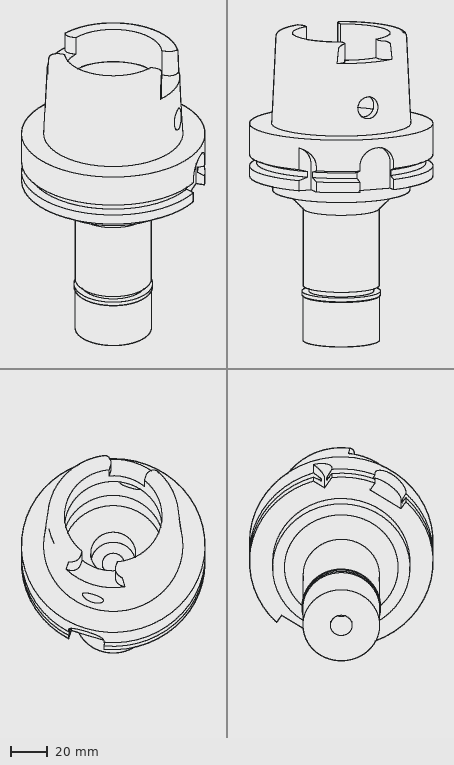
import cadquery as cq
import math


total_height = 170.0
nut_height = 27.2
nut_collar_bottom = 25.2
shank_bottom = 30.3
cone_bottom = 73.0
disc_bottom = 83.1
flange_bottom = 91.0
flange_top = 120.0

nut_radius = 20.9
nut_collar_radius = 21.5
nut_collar_chamfer = nut_collar_radius - nut_radius

neck_radius = 17.7
shank_radius = 20.7
cone_top_radius = shank_radius + (disc_bottom - cone_bottom)
disc_radius = 37.4
flange_radius = 50.0
taper_base_radius = 37.9
taper_top_radius = 35.5
rim_fillet = 2.0

groove_radius = 46.0
groove_floor_bottom = 98.1
groove_floor_top = 101.2
groove_flank_height = 1.5

through_radius = 6.0
mouth_radius = 26.5
mouth_depth = 19.9
chamber_radius = 31.5
chamber_flank_angle = 30
chamber_flank_height = (chamber_radius - mouth_radius) * math.tan(math.radians(chamber_flank_angle))
chamber_wall_bottom = 129.4
chamber_fillet = 6.0
inner_bore_radius = 27.5
inner_bore_floor = 106.6
socket_radius = 12.2
socket_depth = 17.0

drive_slot_width = 20.0
drive_corner_radius = 5.0
drive_shoulder = 32.1
drive_depth_minus_x = 10.2
drive_depth_plus_x = 15.0

cross_hole_radius = 6.0
cross_hole_height = 135.0

notch_radius = 10.0
notch_top_margin = 5.0
notch_top = flange_top - notch_top_margin
main_notch_floor = 44.0
side_notch_floor = 31.6
side_notch_edge_y = 31.5
side_notch_y = side_notch_edge_y + notch_radius


def make_nut():
    profile = [
        (through_radius, 0),
        (nut_radius, 0),
        (nut_radius, nut_collar_bottom - nut_collar_chamfer),
        (nut_collar_radius, nut_collar_bottom),
        (nut_collar_radius, nut_height),
        (through_radius, nut_height),
    ]
    return cq.Workplane("XZ").polyline(profile).close().revolve(360, (0, 0), (0, 1))


def make_holder_blank():
    """Solid of revolution with all the outside diameters and the gripper groove."""
    profile = [
        (0, nut_height),
        (neck_radius, nut_height),
        (neck_radius, shank_bottom),
        (shank_radius, shank_bottom),
        (shank_radius, cone_bottom),
        (cone_top_radius, disc_bottom),
        (disc_radius, disc_bottom),
        (disc_radius, flange_bottom),
        (flange_radius, flange_bottom),
        (flange_radius, groove_floor_bottom - groove_flank_height),
        (groove_radius, groove_floor_bottom),
        (groove_radius, groove_floor_top),
        (flange_radius, groove_floor_top + groove_flank_height),
        (flange_radius, flange_top),
        (taper_base_radius, flange_top),
        (taper_top_radius, total_height),
        (0, total_height),
    ]
    blank = cq.Workplane("XZ").polyline(profile).close().revolve(360, (0, 0), (0, 1))
    return blank.faces(">Z").edges().fillet(rim_fillet)


def make_cavity():
    """Through bore, socket, inner bore, rounded clamping chamber and mouth as one cutter."""
    mouth_bottom = total_height - mouth_depth
    socket_floor = inner_bore_floor - socket_depth
    arc_centre_radius = chamber_radius - chamber_fillet
    arc_end_angle = math.acos((inner_bore_radius - arc_centre_radius) / chamber_fillet)

    def arc_point(angle):
        return (
            arc_centre_radius + chamber_fillet * math.cos(angle),
            chamber_wall_bottom - chamber_fillet * math.sin(angle),
        )

    profile = (
        cq.Workplane("XZ")
        .moveTo(0, nut_height)
        .lineTo(through_radius, nut_height)
        .lineTo(through_radius, socket_floor)
        .lineTo(socket_radius, socket_floor)
        .lineTo(socket_radius, inner_bore_floor)
        .lineTo(inner_bore_radius, inner_bore_floor)
        .lineTo(*arc_point(arc_end_angle))
        .threePointArc(arc_point(arc_end_angle / 2), arc_point(0))
        .lineTo(chamber_radius, mouth_bottom - chamber_flank_height)
        .lineTo(mouth_radius, mouth_bottom)
        .lineTo(mouth_radius, total_height)
        .lineTo(0, total_height)
        .close()
    )
    return profile.revolve(360, (0, 0), (0, 1))


def make_drive_slot(side, depth):
    """Slot open along X on one side (+1 or -1), flaring round the corners to a flat shoulder."""
    half_width = drive_slot_width / 2
    corner_start = drive_shoulder - drive_corner_radius
    flare = half_width + drive_corner_radius
    reach = taper_base_radius
    slot = (
        cq.Workplane("XY", origin=(0, 0, total_height - depth))
        .moveTo(0, -half_width)
        .lineTo(corner_start, -half_width)
        .radiusArc((drive_shoulder, -flare), drive_corner_radius)
        .lineTo(drive_shoulder, -reach)
        .lineTo(reach, -reach)
        .lineTo(reach, reach)
        .lineTo(drive_shoulder, reach)
        .lineTo(drive_shoulder, flare)
        .radiusArc((corner_start, half_width), drive_corner_radius)
        .lineTo(0, half_width)
        .close()
        .extrude(depth)
    )
    return slot if side > 0 else slot.mirror("YZ")


def make_cross_hole():
    return (
        cq.Workplane("YZ")
        .center(0, cross_hole_height)
        .circle(cross_hole_radius)
        .extrude(taper_base_radius, both=True)
    )


def make_notch(side, centre_y, floor_distance):
    """Flat-floored notch cut along X on one side (+1 or -1) of the flange."""
    arc_centre_height = notch_top - notch_radius
    notch = (
        cq.Workplane("YZ", origin=(floor_distance, centre_y, 0))
        .moveTo(-notch_radius, flange_bottom)
        .lineTo(-notch_radius, arc_centre_height)
        .threePointArc((0, notch_top), (notch_radius, arc_centre_height))
        .lineTo(notch_radius, flange_bottom)
        .close()
        .extrude(flange_radius - floor_distance)
    )
    return notch if side > 0 else notch.mirror("YZ")


def make_holder():
    holder = make_holder_blank().cut(make_cavity())
    holder = holder.cut(make_drive_slot(-1, drive_depth_minus_x))
    holder = holder.cut(make_drive_slot(1, drive_depth_plus_x))
    holder = holder.cut(make_cross_hole())
    for side in (-1, 1):
        holder = holder.cut(make_notch(side, 0, main_notch_floor))
    return holder.cut(make_notch(-1, side_notch_y, side_notch_floor))


holder = make_holder()
nut = make_nut()
result = cq.Compound.makeCompound([holder.val(), nut.val()])